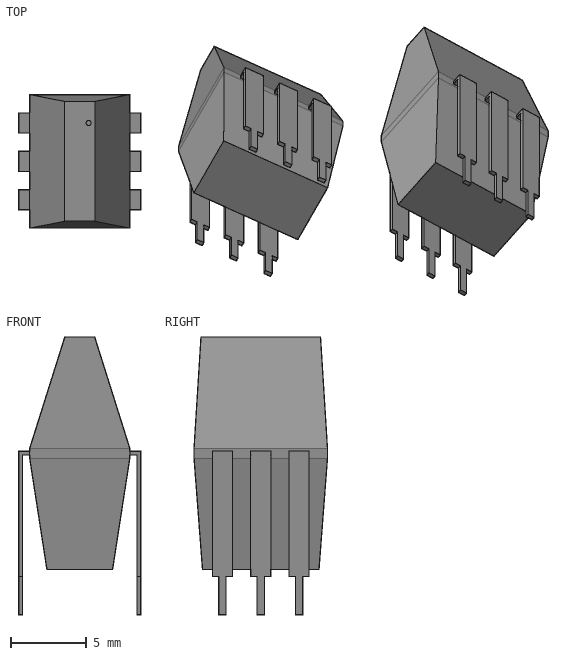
import cadquery as cq

band_width = 6.67
band_length = 8.88
crown_width = 2.0
crown_length = 7.96
base_width = 4.38
base_length = 7.75
base_z = 3.01
band_bottom_z = 10.4
band_height = 0.66
band_top_z = band_bottom_z + band_height
crown_z = 18.47

lead_span = 8.13
lead_thickness = 0.25
lead_width = 1.35
tip_width = 0.5
shoulder_z = 2.53
lead_top_z = 10.88
lead_pitch = 2.55
leads_per_side = 3

marker_diameter = 0.33
marker_depth = 0.1
marker_x = 0.6
marker_y = lead_pitch


def tapered_block(bottom_z, bottom_size, top_z, top_size):
    """Loft between two centred rectangles."""
    return (
        cq.Workplane("XY", origin=(0, 0, bottom_z))
        .rect(*bottom_size)
        .workplane(offset=top_z - bottom_z)
        .rect(*top_size)
        .loft(ruled=True, combine=True)
    )


def make_marker():
    return (
        cq.Workplane("XY", origin=(marker_x, marker_y, crown_z - marker_depth))
        .circle(marker_diameter / 2)
        .extrude(marker_depth)
    )


def make_housing():
    band_size = (band_width, band_length)
    lower = tapered_block(base_z, (base_width, base_length), band_bottom_z, band_size)
    band = cq.Workplane("XY", origin=(0, 0, band_bottom_z)).rect(*band_size).extrude(band_height)
    upper = tapered_block(band_top_z, band_size, crown_z, (crown_width, crown_length))
    return lower.union(band).union(upper).cut(make_marker())


def make_lead(side, y):
    """Lead on the +X (side = 1) or -X (side = -1) face, butting against the band."""
    outer_x = side * lead_span / 2
    inner_x = outer_x - side * lead_thickness
    band_x = side * band_width / 2
    bend = (
        cq.Workplane("XZ", origin=(0, y, 0))
        .polyline([
            (outer_x, shoulder_z),
            (outer_x, lead_top_z),
            (band_x, lead_top_z),
            (band_x, lead_top_z - lead_thickness),
            (inner_x, lead_top_z - lead_thickness),
            (inner_x, shoulder_z),
        ])
        .close()
        .extrude(lead_width / 2, both=True)
    )
    tip = (
        cq.Workplane("XY", origin=((outer_x + inner_x) / 2, y, 0))
        .rect(lead_thickness, tip_width)
        .extrude(shoulder_z)
    )
    return bend.union(tip)


housing = make_housing()
marker = make_marker()

leads = []
for side in (-1, 1):
    for index in range(leads_per_side):
        y = (index - (leads_per_side - 1) / 2) * lead_pitch
        leads.append(make_lead(side, y).val())

result = cq.Compound.makeCompound([housing.val(), marker.val(), *leads])